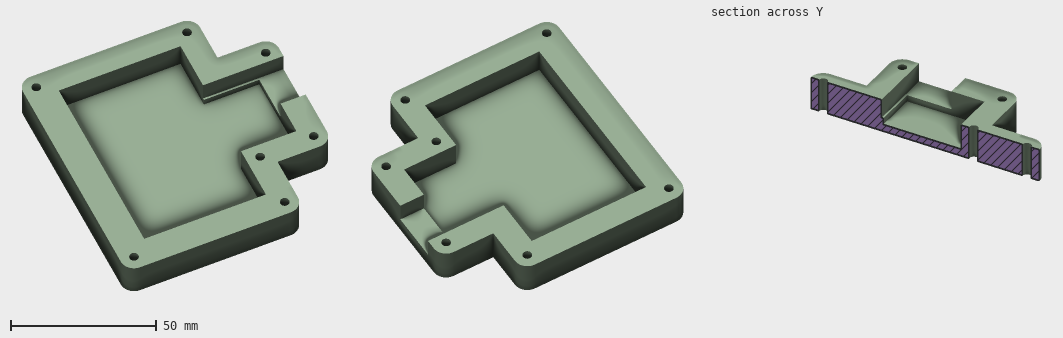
import cadquery as cq

length = 90.85
width = 88.1
height = 13.0
shoulder_y = 67.1
neck_left = 19.35
neck_right = 69.05
corner_radius = 5.0

pocket_depth = 10.0
wall = 9.5
right_wall = 10.6
front_wall = 11.45
neck_pocket_left = 28.9
neck_pocket_right = 59.6

notch_depth = 7.45
notch_left = 28.2
notch_right = 46.5

hole_diameter = 3.4
inner_hole = (64.5, 62.6)


def block(x_range, y_range, z_range):
    """Box spanning the given (low, high) ranges."""
    (x0, x1), (y0, y1), (z0, z1) = x_range, y_range, z_range
    return cq.Workplane("XY").box(x1 - x0, y1 - y0, z1 - z0, centered=False).translate((x0, y0, z0))


def rounded_block(x_range, y_range):
    """Full-height block with rounded vertical corners."""
    return block(x_range, y_range, (0, height)).edges("|Z").fillet(corner_radius)


body = rounded_block((0, length), (0, shoulder_y))
body = body.union(rounded_block((neck_left, neck_right), (front_wall, width)))

pocket_z = (height - pocket_depth, height)
pocket_back = shoulder_y - wall
main_pocket = block((wall, length - right_wall), (front_wall, pocket_back), pocket_z)
neck_pocket = block((neck_pocket_left, neck_pocket_right), (front_wall, width - wall), pocket_z)
body = body.cut(main_pocket).cut(neck_pocket)

notch_z = (height - notch_depth, height)
body = body.cut(block((notch_left, notch_right), (pocket_back, width), notch_z))

inset = corner_radius
hole_centers = [(x, y) for x in (inset, length - inset) for y in (inset, shoulder_y - inset)]
hole_centers += [(x, width - inset) for x in (neck_left + inset, neck_right - inset)]
hole_centers.append(inner_hole)
holes = cq.Workplane("XY").pushPoints(hole_centers).circle(hole_diameter / 2).extrude(height)

result = body.cut(holes)